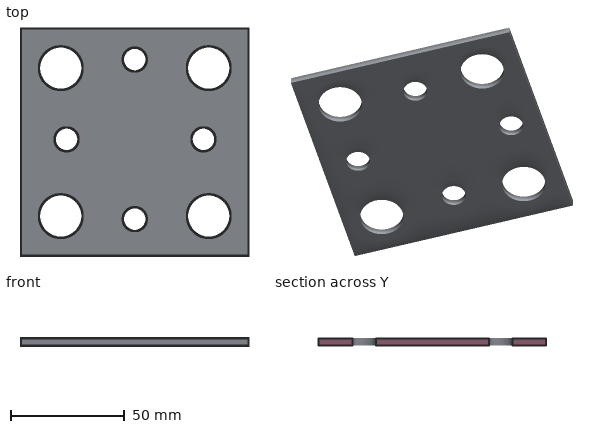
import cadquery as cq

plate_side = 100.0
plate_thickness = 3.4

large_hole_diameter = 19.05
large_hole_spacing = 65.03

small_hole_diameter = 10.41
side_pair_spacing = 60.18
side_pair_offset_x = 0.11
end_pair_spacing = 70.12
cross_offset_y = 1.21


def make_plate():
    return cq.Workplane("XY").box(plate_side, plate_side, plate_thickness)


def cut_through_holes(plate, centres, diameter):
    return plate.faces(">Z").workplane(origin=(0, 0, 0)).pushPoints(centres).hole(diameter)


def large_hole_centres():
    reach = large_hole_spacing / 2
    return [(x, y) for x in (-reach, reach) for y in (-reach, reach)]


def small_hole_centres():
    side_reach = side_pair_spacing / 2
    end_reach = end_pair_spacing / 2
    side_pair = [(side_pair_offset_x + x, cross_offset_y) for x in (-side_reach, side_reach)]
    end_pair = [(0, cross_offset_y + y) for y in (-end_reach, end_reach)]
    return side_pair + end_pair


plate = make_plate()
plate = cut_through_holes(plate, large_hole_centres(), large_hole_diameter)
plate = cut_through_holes(plate, small_hole_centres(), small_hole_diameter)
result = plate